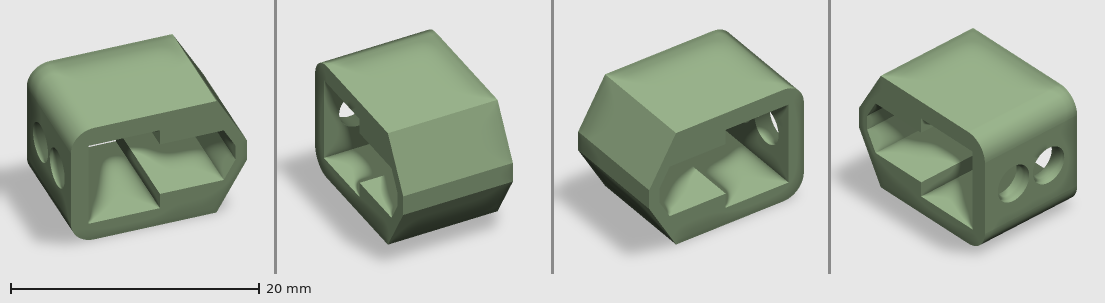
import cadquery as cq
import math

width = 10.0
length = 15.2
height = 11.0

front_radius = 2.0
nose_start = 12.55
nose_slope = math.tan(math.radians(60))

front_wall = 1.5
back_wall = 1.0
wide_height = 7.69
narrow_height = 4.9
step_y = 7.68
taper_start = 13.18

hole_diameter = 3.4
hole_spacing = 3.8


def nosed_prism(front, taper, back, full_height):
    """Prism along X whose back end narrows at the nose slope to a flat."""
    half = full_height / 2
    tip_half = half - (back - taper) * nose_slope
    profile = [
        (front, -half),
        (taper, -half),
        (back, -tip_half),
        (back, tip_half),
        (taper, half),
        (front, half),
    ]
    return cq.Workplane("YZ").polyline(profile).close().extrude(width / 2, both=True)


body = nosed_prism(0, nose_start, length, height)
body = body.faces("<Y").edges("|X").fillet(front_radius)

narrow_cavity = nosed_prism(front_wall, taper_start, length - back_wall, narrow_height)
wide_cavity = cq.Workplane("XY").box(
    width, step_y - front_wall, wide_height, centered=(True, False, True)
).translate((0, front_wall, 0))

holes = (
    cq.Workplane("XZ")
    .pushPoints([(-hole_spacing / 2, 0), (hole_spacing / 2, 0)])
    .circle(hole_diameter / 2)
    .extrude(-step_y)
)

result = body.cut(narrow_cavity).cut(wide_cavity).cut(holes)